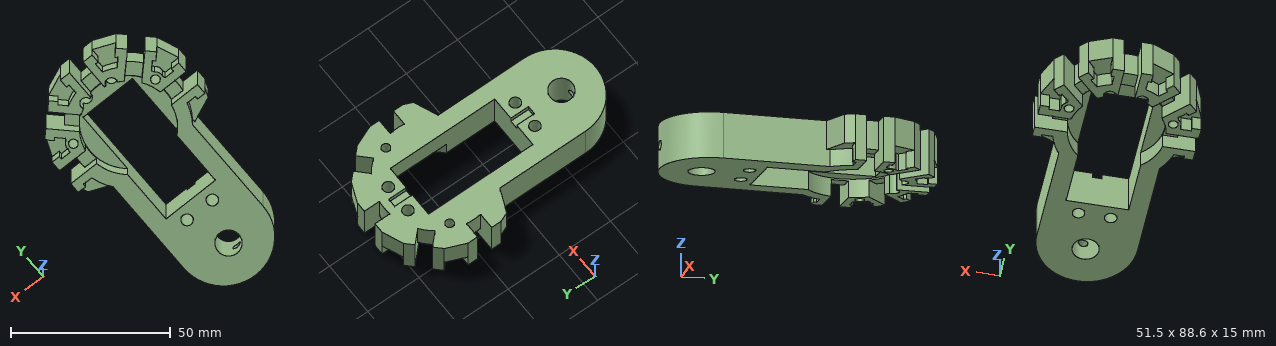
import cadquery as cq
import math

LENGTH = 88.6
THICKNESS = 15.0
HEAD_WIDTH = 51.5
HEAD_APOTHEM = HEAD_WIDTH / 2
LOWER_HEIGHT = 5.5

ARM_HALF_WIDTH = 16.1
ARM_END_Y = HEAD_APOTHEM - LENGTH
ARM_ARC_Y = ARM_END_Y + ARM_HALF_WIDTH

RING_RADIUS = 20.1
CAVITY_RADIUS = 15.4
CAVITY_DEPTH = 6.0
TAB_PITCH = 45
TAB_COUNT = 5
TAB_ANGLES = [index * TAB_PITCH for index in range(TAB_COUNT)]
TAB_HALF_WIDTH = 6.5
NECK_HALF_WIDTH = 5.4
TAB_TIP_DEPTH = 3.0
SLOT_WIDTH = 5.5
SHOULDER_Y = -9.65
SHOULDER_ROOT_Y = -13.1

WINDOW_WIDTH = 20.0
WINDOW_TOP_Y = 10.2
WINDOW_BOTTOM_Y = -30.65
GROOVE_WIDTH = 3.1
GROOVE_LENGTH = 6.9
GROOVE_DEPTH = 1.95

MOUNT_HOLE_DIAMETER = 3.9
MOUNT_HOLE_X = 5.1
MOUNT_HOLE_OFFSET = 4.4
SCREW_HOLE_DIAMETER = 3.0
SCREW_HOLE_X = 16.65
SCREW_HOLE_Y = 6.9
SCREW_BOSS_RADIUS = 2.5
PIVOT_DIAMETER = 8.5
PIVOT_Y = -49.25
SET_SCREW_DIAMETER = 3.0


def rotated(x, y, degrees):
    """Point (x, y) turned about the head centre."""
    angle = math.radians(degrees)
    return (
        x * math.cos(angle) - y * math.sin(angle),
        x * math.sin(angle) + y * math.cos(angle),
    )


def block(x_min, x_max, y_min, y_max, z_min, z_max):
    """Axis-aligned box between the given limits."""
    size = (x_max - x_min, y_max - y_min, z_max - z_min)
    return cq.Workplane("XY").box(*size, centered=False).translate((x_min, y_min, z_min))


def cylinder(x, y, radius, height):
    """Upright cylinder standing on the bottom face."""
    return cq.Workplane("XY").center(x, y).circle(radius).extrude(height)


def around_head(shape):
    """One copy of the shape at each tab angle, joined together."""
    copies = cq.Workplane("XY")
    for angle in TAB_ANGLES:
        copies = copies.add(shape.rotate((0, 0, 0), (0, 0, 1), angle).val())
    return copies.combine()


def make_arm():
    """Straight arm with a round end, full thickness."""
    return (
        cq.Workplane("XY")
        .moveTo(ARM_HALF_WIDTH, 0)
        .lineTo(-ARM_HALF_WIDTH, 0)
        .lineTo(-ARM_HALF_WIDTH, ARM_ARC_Y)
        .threePointArc((0, ARM_END_Y), (ARM_HALF_WIDTH, ARM_ARC_Y))
        .close()
        .extrude(THICKNESS)
    )


def make_upper_head():
    """Faceted plate above the lower level."""
    shoulder_drop = -SHOULDER_Y - TAB_HALF_WIDTH
    shoulder_x = HEAD_APOTHEM - shoulder_drop * math.tan(math.radians(TAB_PITCH / 2))
    points = [(ARM_HALF_WIDTH, SHOULDER_ROOT_Y), (shoulder_x, SHOULDER_Y)]
    for angle in TAB_ANGLES:
        points.append(rotated(HEAD_APOTHEM, -TAB_HALF_WIDTH, angle))
        points.append(rotated(HEAD_APOTHEM, TAB_HALF_WIDTH, angle))
    points += [(-shoulder_x, SHOULDER_Y), (-ARM_HALF_WIDTH, SHOULDER_ROOT_Y)]
    return (
        cq.Workplane("XY", origin=(0, 0, LOWER_HEIGHT))
        .polyline(points)
        .close()
        .extrude(THICKNESS - LOWER_HEIGHT)
    )


def make_lower_head():
    """Disc and T-shaped tabs of the lower level."""
    tip_start = HEAD_APOTHEM - TAB_TIP_DEPTH
    neck = block(CAVITY_RADIUS, HEAD_APOTHEM, -NECK_HALF_WIDTH, NECK_HALF_WIDTH, 0, LOWER_HEIGHT)
    tip = block(tip_start, HEAD_APOTHEM, -TAB_HALF_WIDTH, TAB_HALF_WIDTH, 0, LOWER_HEIGHT)
    return cylinder(0, 0, RING_RADIUS, LOWER_HEIGHT).union(around_head(neck.union(tip)))


def make_cavity():
    """Round cavity open at the bottom face."""
    return cylinder(0, 0, CAVITY_RADIUS, CAVITY_DEPTH)


def make_slots():
    """Radial slots: in to the ring radius above, and into the cavity in the lower level."""
    half = SLOT_WIDTH / 2
    full_slots = around_head(block(0, HEAD_APOTHEM, -half, half, 0, THICKNESS))
    kept_core = cylinder(0, 0, RING_RADIUS, THICKNESS - LOWER_HEIGHT).translate((0, 0, LOWER_HEIGHT))
    return full_slots.cut(kept_core)


def make_screw_bosses():
    """Round bosses of the lower level around the two screw holes."""
    bosses = cq.Workplane("XY")
    for side in (-1, 1):
        bosses = bosses.add(cylinder(side * SCREW_HOLE_X, SCREW_HOLE_Y, SCREW_BOSS_RADIUS, LOWER_HEIGHT))
    return bosses.combine()


def make_window():
    """Rectangular window with a groove running out of each end at the top face."""
    half = WINDOW_WIDTH / 2
    window = block(-half, half, WINDOW_BOTTOM_Y, WINDOW_TOP_Y, 0, THICKNESS)
    groove = block(
        -GROOVE_WIDTH / 2, GROOVE_WIDTH / 2,
        WINDOW_BOTTOM_Y - GROOVE_LENGTH, WINDOW_TOP_Y + GROOVE_LENGTH,
        THICKNESS - GROOVE_DEPTH, THICKNESS,
    )
    return window.union(groove)


def make_upright_holes():
    """Mounting, screw and pivot holes through the full thickness."""
    holes = cylinder(0, PIVOT_Y, PIVOT_DIAMETER / 2, THICKNESS)
    for side in (-1, 1):
        for y in (WINDOW_TOP_Y + MOUNT_HOLE_OFFSET, WINDOW_BOTTOM_Y - MOUNT_HOLE_OFFSET):
            holes = holes.union(cylinder(side * MOUNT_HOLE_X, y, MOUNT_HOLE_DIAMETER / 2, THICKNESS))
        screw_hole = cylinder(side * SCREW_HOLE_X, SCREW_HOLE_Y, SCREW_HOLE_DIAMETER / 2, THICKNESS)
        holes = holes.union(screw_hole)
    return holes


def make_set_screw_hole():
    """Cross hole from the round arm end into the pivot hole."""
    return (
        cq.Workplane("XZ", origin=(0, PIVOT_Y, THICKNESS / 2))
        .circle(SET_SCREW_DIAMETER / 2)
        .extrude(PIVOT_Y - ARM_END_Y)
    )


body = make_arm().union(make_upper_head()).union(make_lower_head())
body = body.cut(make_cavity()).cut(make_slots()).union(make_screw_bosses())
result = body.cut(make_window()).cut(make_upright_holes()).cut(make_set_screw_hole())